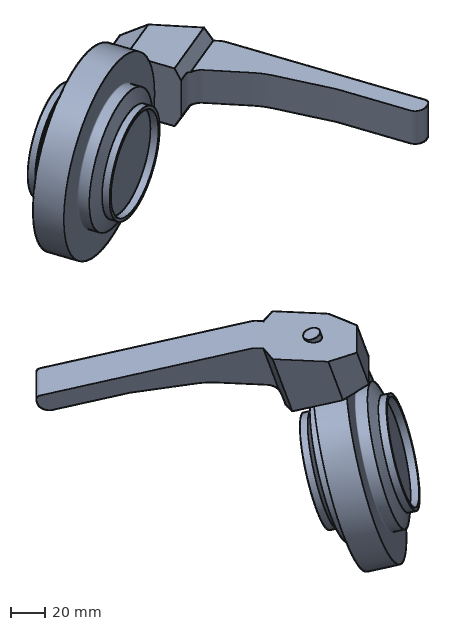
import cadquery as cq
import math

disc_radius = 63.5
disc_half_width = 10.0
flange_radius = 44.2
flange_half_width = 17.4
collar_radius = 35.2
collar_root = 21.0
body_half_width = 26.2
flange_root_fillet = 0.8
collar_root_fillet = 0.5
recess_radius = 33.0
recess_depth = 5.0

stem_radius = 5.2
stem_top = 101.0

hub_base = 65.0
hub_left = -24.3
hub_left_height = 89.9
hub_right = body_half_width
hub_half_depth = 21.8
hub_flat_start = -8.6
hub_flat_end = 22.0
hub_grip_junction = 27.2

grip_half_depth = 12.5
grip_top = 110.0
grip_bottom = 97.3
grip_end = 191.2 - body_half_width
grip_taper_end = 111.0
knee_x = 66.2
knee_y = 92.7
slope_angle = 19.5
hub_top_radius = 9.5
armpit_radius = 10.0
knee_radius = 50.0
taper_end_radius = 10.0
tip_top_radius = 3.5
tip_bottom_radius = 7.3


def make_valve_body():
    """Disc with stepped flanges, end recesses and the handle stem."""
    right_half = [
        (disc_half_width, disc_radius),
        (disc_half_width, flange_radius),
        (flange_half_width, flange_radius),
        (collar_root, collar_radius),
        (body_half_width, collar_radius),
        (body_half_width, recess_radius),
        (body_half_width - recess_depth, recess_radius),
        (body_half_width - recess_depth, 0),
    ]
    left_half = [(-x, radius) for x, radius in reversed(right_half)]
    body = cq.Workplane("XY").polyline(left_half + right_half).close().revolve(360, (0, 0, 0), (1, 0, 0))
    for side in (-1, 1):
        body = fillet_circle(body, side * disc_half_width, flange_radius, flange_root_fillet)
        body = fillet_circle(body, side * collar_root, collar_radius, collar_root_fillet)
    return body.union(make_stem())


def fillet_circle(solid, x, radius, fillet_radius):
    """Round the circular edge of the given radius that lies in the plane at x."""
    margin = 0.2
    region = cq.selectors.BoxSelector(
        (x - margin, -radius - margin, -radius - margin),
        (x + margin, radius + margin, radius + margin),
        boundingbox=True,
    )
    corner = solid.edges(region).edges(cq.selectors.RadiusNthSelector(-1))
    return corner.fillet(fillet_radius)


def make_stem():
    """Cylinder from the centre of the disc to the stem top."""
    return cq.Workplane("XZ").circle(stem_radius).extrude(-stem_top)


def fillet_corner(solid, corner, radius):
    """Round the profile edge that runs along Z through the corner point."""
    return solid.edges("|Z").edges(cq.selectors.NearestToPointSelector((*corner, 0))).fillet(radius)


def make_handle():
    """Side profile trimmed to the hub and grip outline, with a hole for the stem."""
    slope = math.tan(math.radians(slope_angle))
    hub_top_corner = (hub_left + (grip_top - hub_left_height) / slope, grip_top)
    tip_top_corner = (grip_end, grip_top)
    tip_bottom_corner = (grip_end, grip_bottom)
    taper_end = (grip_taper_end, grip_bottom)
    knee = (knee_x, knee_y)
    armpit = (hub_right, knee_y - (knee_x - hub_right) * slope)
    profile = [
        (hub_left, hub_base),
        (hub_left, hub_left_height),
        hub_top_corner,
        tip_top_corner,
        tip_bottom_corner,
        taper_end,
        knee,
        armpit,
        (hub_right, hub_base),
    ]
    side = cq.Workplane("XY").polyline(profile).close().extrude(hub_half_depth, both=True)
    side = fillet_corner(side, hub_top_corner, hub_top_radius)
    side = fillet_corner(side, tip_top_corner, tip_top_radius)
    side = fillet_corner(side, tip_bottom_corner, tip_bottom_radius)
    side = fillet_corner(side, knee, knee_radius)
    side = fillet_corner(side, taper_end, taper_end_radius)
    side = fillet_corner(side, armpit, armpit_radius)

    upper_outline = [
        (hub_left, grip_half_depth),
        (hub_flat_start, hub_half_depth),
        (hub_flat_end, hub_half_depth),
        (hub_grip_junction, grip_half_depth),
        (grip_end, grip_half_depth),
    ]
    lower_outline = [(x, -z) for x, z in reversed(upper_outline)]
    plan = cq.Workplane("XZ").polyline(upper_outline + lower_outline).close().extrude(-grip_top)
    return side.intersect(plan).cut(make_stem())


valve_body = make_valve_body()
handle = make_handle()
result = cq.Compound.makeCompound([valve_body.val(), handle.val()])